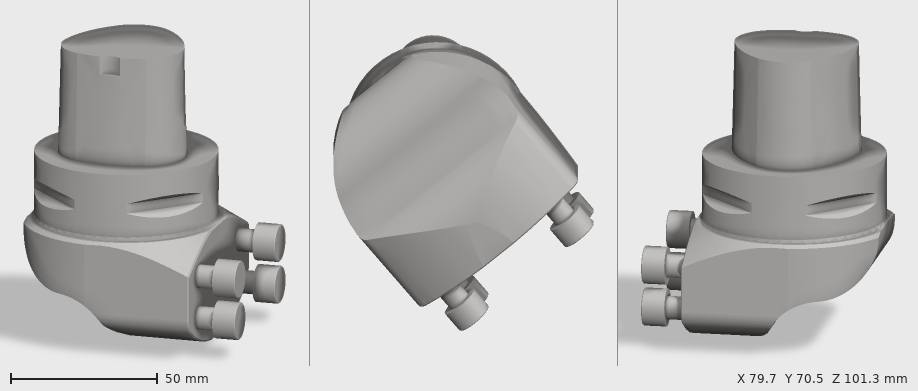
import cadquery as cq
import math


shank_length = 38.0
shank_taper = math.degrees(math.atan(1 / 40))
lobe_angles = (90, 210, 330)
lobe_pitch = 120
lobe_radius = 14.6
lobe_centre_offset = 8.9
flank_low_point = 20.35

notch_radius = 5.0
notch_floor_offset = 17.7
notch_height = 6.4

flange_radius = 63.0 / 2
groove_z = -12.0
groove_floor_distance = 27.86
groove_floor_height = 3.4
groove_wall_angle = 30.0
groove_count = 4

shoulder_z = -23.35
neck_flare = 0.9
neck_height = 1.3
shoulder_flat_radius = 34.0
shoulder_slope = 34.0

head_width = 70.5
head_corner_radius = 35.5
head_left = -32.0
head_right = 33.0
head_bottom = -63.25
head_edge_chamfer = 0.5
belly_radius = 60.0
belly_side_fillet = 6.0

sweep_radius = 18.0
sweep_start_z = -25.3
underside_rise = 0.4

screw_shaft_radius = 8.0 / 2
screw_head_radius = 13.0 / 2
screw_shaft_start = 20.0
screw_head_length = 8.0
screw_end = 47.72
screw_head_chamfer = 0.3
screw_y = 23.35
screw_upper_z = -35.65
screw_spacing_z = 14.8

half_width = head_width / 2


def polar(radius, angle, centre=(0.0, 0.0)):
    """Point at a radius and an angle in degrees around a centre."""
    a = math.radians(angle)
    return (centre[0] + radius * math.cos(a), centre[1] + radius * math.sin(a))


def make_shank():
    """Three-lobed taper with a notch; its lobes and flanks are tangent arcs."""
    half_pitch = lobe_pitch / 2
    lobe_across = lobe_centre_offset * math.sin(math.radians(half_pitch))
    lobe_along = lobe_centre_offset * math.cos(math.radians(half_pitch))
    reach = flank_low_point - lobe_radius - lobe_along
    flank_span = (lobe_across**2 - reach**2) / (2 * reach)
    flank_half_angle = math.degrees(math.atan2(lobe_across, flank_span))
    half_sweep = half_pitch - flank_half_angle

    first_start = polar(lobe_radius, lobe_angles[0] - half_sweep, polar(lobe_centre_offset, lobe_angles[0]))
    outline = cq.Workplane("XY").moveTo(*first_start)
    for lobe_angle in lobe_angles:
        centre = polar(lobe_centre_offset, lobe_angle)
        lobe_top = polar(lobe_radius, lobe_angle, centre)
        lobe_end = polar(lobe_radius, lobe_angle + half_sweep, centre)
        next_centre = polar(lobe_centre_offset, lobe_angle + lobe_pitch)
        next_start = polar(lobe_radius, lobe_angle + lobe_pitch - half_sweep, next_centre)
        flank_middle = polar(flank_low_point, lobe_angle + half_pitch)
        outline = outline.threePointArc(lobe_top, lobe_end).threePointArc(flank_middle, next_start)
    shank = outline.close().extrude(shank_length, taper=shank_taper)
    notch = (
        cq.Workplane("XY", origin=(0, -notch_floor_offset - notch_radius, shank_length - notch_height))
        .circle(notch_radius)
        .extrude(notch_height)
    )
    return shank.cut(notch)


def make_flange():
    """Round flange with gripper grooves and a flared neck below it."""
    neck_top = shoulder_z + neck_height
    neck_radius = (neck_flare**2 + neck_height**2) / (2 * neck_flare)
    neck_sweep = math.degrees(math.asin(neck_height / neck_radius))
    neck_middle = polar(neck_radius, 180 + neck_sweep / 2, (flange_radius + neck_radius, neck_top))
    flange = (
        cq.Workplane("XZ")
        .lineTo(flange_radius, 0)
        .lineTo(flange_radius, neck_top)
        .threePointArc(neck_middle, (flange_radius + neck_flare, shoulder_z))
        .lineTo(0, shoulder_z)
        .close()
        .revolve(360, (0, 0, 0), (0, 1, 0))
    )
    groove_depth = flange_radius - groove_floor_distance
    half_floor = groove_floor_height / 2
    half_mouth = half_floor + groove_depth * math.tan(math.radians(groove_wall_angle))
    groove = (
        cq.Workplane("XZ")
        .polyline(
            [
                (groove_floor_distance, groove_z - half_floor),
                (flange_radius, groove_z - half_mouth),
                (flange_radius, groove_z + half_mouth),
                (groove_floor_distance, groove_z + half_floor),
            ]
        )
        .close()
        .extrude(flange_radius, both=True)
    )
    overhang = (
        cq.Workplane("YZ", origin=(head_left, 0, 0))
        .rect(head_width, 2 * flange_radius)
        .extrude(-flange_radius)
    )
    flange = flange.cut(overhang)
    pitch = 360 / groove_count
    for index in range(groove_count):
        flange = flange.cut(groove.rotate((0, 0, 0), (0, 0, 1), pitch * (index + 0.5)))
    return flange


def make_side_profile():
    """Head outline in the XZ plane with the S-shaped underside, through the full width."""
    first_end = (head_left + sweep_radius, sweep_start_z - sweep_radius)
    drop = first_end[1] - head_bottom
    sweep = math.degrees(math.acos(1 - drop / (2 * sweep_radius)))
    convex_centre = (first_end[0], first_end[1] - sweep_radius)
    inflection = polar(sweep_radius, 90 - sweep, convex_centre)
    last_end = (2 * inflection[0] - first_end[0], head_bottom)
    last_centre = (last_end[0], head_bottom + sweep_radius)
    return (
        cq.Workplane("XZ")
        .moveTo(head_left, shoulder_z)
        .lineTo(head_left, sweep_start_z)
        .threePointArc(polar(sweep_radius, 225, (first_end[0], sweep_start_z)), first_end)
        .threePointArc(polar(sweep_radius, 90 - sweep / 2, convex_centre), inflection)
        .threePointArc(polar(sweep_radius, 270 - sweep / 2, last_centre), last_end)
        .lineTo(head_right, head_bottom + underside_rise)
        .lineTo(head_right, shoulder_z)
        .close()
        .extrude(half_width, both=True)
    )


def make_cross_section():
    """Head section in the YZ plane: flat sides, filleted into a round belly."""
    belly_z = head_bottom + belly_radius
    fillet_y = half_width - belly_side_fillet
    centre_distance = belly_radius - belly_side_fillet
    fillet_z = belly_z - math.sqrt(centre_distance**2 - fillet_y**2)
    belly_angle = math.degrees(math.atan2(fillet_z - belly_z, fillet_y))
    right_centre = (fillet_y, fillet_z)
    fillet_mid = polar(belly_side_fillet, belly_angle / 2, right_centre)
    belly_end = polar(belly_radius, belly_angle, (0, belly_z))
    return (
        cq.Workplane("YZ", origin=(head_left, 0, 0))
        .moveTo(half_width, shoulder_z)
        .lineTo(half_width, fillet_z)
        .threePointArc(fillet_mid, belly_end)
        .threePointArc((0, head_bottom), (-belly_end[0], belly_end[1]))
        .threePointArc((-fillet_mid[0], fillet_mid[1]), (-half_width, fillet_z))
        .lineTo(-half_width, shoulder_z)
        .close()
        .extrude(head_right - head_left)
    )


def make_plan():
    """Head outline from above: rounded on the left and square at the screw face."""
    corner_x = -math.sqrt(head_corner_radius**2 - half_width**2)
    return (
        cq.Workplane("XY", origin=(0, 0, head_bottom))
        .moveTo(head_right, half_width)
        .lineTo(corner_x, half_width)
        .threePointArc((-head_corner_radius, 0), (corner_x, -half_width))
        .lineTo(head_right, -half_width)
        .close()
        .extrude(shoulder_z - head_bottom)
    )


def make_shoulder_cone():
    """Flat shoulder surrounded by a cone that slopes down to beyond the head corners."""
    outer_radius = head_width
    cone_drop = (outer_radius - shoulder_flat_radius) * math.tan(math.radians(shoulder_slope))
    return (
        cq.Workplane("XZ")
        .polyline(
            [
                (0, shoulder_z),
                (shoulder_flat_radius, shoulder_z),
                (outer_radius, shoulder_z - cone_drop),
                (outer_radius, head_bottom),
                (0, head_bottom),
            ]
        )
        .close()
        .revolve(360, (0, 0, 0), (0, 1, 0))
    )


def make_head():
    """Head block: what the side, cross-section, plan and shoulder shapes have in common."""
    head = make_side_profile().intersect(make_cross_section())
    head = head.intersect(make_plan()).intersect(make_shoulder_cone())
    return head.faces(">X").chamfer(head_edge_chamfer)


def make_screw(y, z):
    """Cap screw along X, standing out of the right face of the head."""
    head_start = screw_end - screw_head_length
    shaft = (
        cq.Workplane("YZ", origin=(screw_shaft_start, y, z))
        .circle(screw_shaft_radius)
        .extrude(head_start - screw_shaft_start)
    )
    head = (
        cq.Workplane("YZ", origin=(head_start, y, z))
        .circle(screw_head_radius)
        .extrude(screw_head_length)
        .faces(">X")
        .chamfer(screw_head_chamfer)
    )
    return shaft.union(head)


result = make_head().union(make_flange()).union(make_shank())
for y in (-screw_y, screw_y):
    for z in (screw_upper_z, screw_upper_z - screw_spacing_z):
        result = result.union(make_screw(y, z))